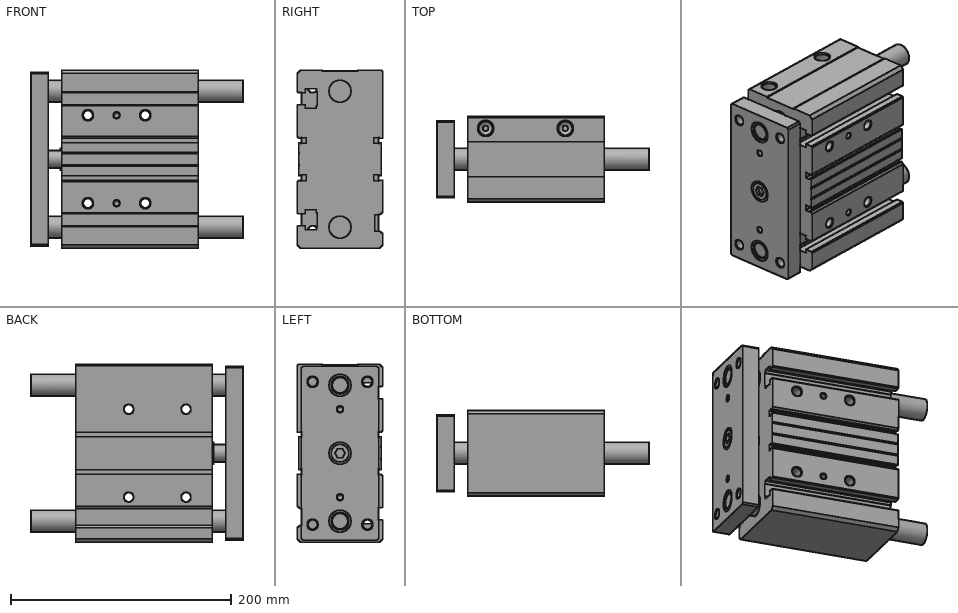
import cadquery as cq

total_length = 193.0
plate_thickness = 16.0
plate_gap = 12.0
body_front = plate_thickness + plate_gap
body_length = 124.3

body_depth = 78.0
body_height = 162.0
front_face = -body_depth / 2
back_face = body_depth / 2
top_face = body_height / 2
corner_chamfer = 3.0
small_corner_chamfer = 1.5
top_recess_width = 32.0
top_recess_depth = 0.8

t_slot_z = 55.0
t_mouth_width = 10.8
t_mouth_chamfer = 1.0
t_head_width = 17.8
t_lip = 7.5
t_head_depth = 10.0
t_relief_width = 12.5
t_relief_depth = 1.0

land_half_height = 15.0
land_recess = 1.4
sensor_slot_width = 3.9
sensor_slot_lip = 3.5
sensor_slot_undercut = 0.8
sensor_slot_depth = 8.1
sensor_slot_chamfer = 1.7
land_groove_z = 5.6
land_groove_width = 1.5
land_groove_floor_width = 0.8
land_groove_depth = 0.4

notch_z = -57.9
notch_mouth_width = 19.7
notch_width = 15.0
notch_flare_depth = 2.7
notch_depth = 7.5

mount_z = 40.0
mount_x = body_front + 24.0
mount_pitch = 52.1
mount_diameter = 8.5
mount_rim_diameter = 10.0
dowel_x = mount_x + mount_pitch / 2
dowel_diameter = 5.0
dowel_rim_diameter = 6.2
dowel_depth = 7.7
dowel_cone_depth = 1.5

port_positions = [body_front + 16.5, body_front + 88.8]
port_y = 28.0
port_diameter = 12.4
port_rim_diameter = 14.7
port_depth = 11.5
port_cone_depth = 3.0
passage_diameter = 5.0
passage_depth = 23.2

plate_depth = 70.3
plate_height = 158.0
plate_chamfer = 1.5
plate_hole_y = 24.9
plate_hole_z = 64.8

guide_z = 61.8
guide_diameter = 20.0
guide_recess_diameter = 16.0
guide_recess_depth = 1.0
guide_core_bevel_width = 1.0
guide_core_bevel_depth = 1.5

piston_diameter = 16.0
piston_end = body_front + 38.6
counterbore_diameter = 20.0
counterbore_depth = 10.0
hex_across_corners = 9.3
hex_depth = 3.0
collar_diameter = 19.7
collar_length = 1.2


def rod_along_x(diameter, start, end, y=0, z=0):
    return cq.Workplane("YZ", origin=(start, y, z)).circle(diameter / 2).extrude(end - start)


def rimmed_hole(mouth, direction, diameter, rim_diameter, depth, cone_depth=0):
    """Hole cutter running from its mouth, with a 45 degree rim and an optional conical bottom."""
    start = cq.Vector(*mouth)
    inward = cq.Vector(*direction)
    radius = diameter / 2
    rim_radius = rim_diameter / 2
    cutter = cq.Solid.makeCylinder(radius, depth, start, inward)
    rim = cq.Solid.makeCone(rim_radius, radius, rim_radius - radius, start, inward)
    cutter = cutter.fuse(rim)
    if cone_depth:
        cutter = cutter.fuse(cq.Solid.makeCone(radius, 0, cone_depth, start + inward * depth, inward))
    return cq.Workplane(cutter)


def along_body(points):
    """Prism with the given (Y, Z) outline over the whole body length."""
    return cq.Workplane("YZ", origin=(body_front, 0, 0)).polyline(points).close().extrude(body_length)


def symmetric_slot(face, inward, z, steps):
    """Slot along the body from (depth, half width) steps, mirrored about height z."""
    lower = [(face + inward * depth, z - half) for depth, half in steps]
    upper = [(face + inward * depth, z + half) for depth, half in reversed(steps)]
    return along_body(lower + upper)


def body_blank():
    return along_body([
        (front_face + corner_chamfer, -top_face),
        (back_face - corner_chamfer, -top_face),
        (back_face, -top_face + corner_chamfer),
        (back_face, top_face - small_corner_chamfer),
        (back_face - small_corner_chamfer, top_face),
        (top_recess_width / 2, top_face),
        (top_recess_width / 2, top_face - top_recess_depth),
        (-top_recess_width / 2, top_face - top_recess_depth),
        (-top_recess_width / 2, top_face),
        (front_face + corner_chamfer, top_face),
        (front_face, top_face - corner_chamfer),
        (front_face, -top_face + corner_chamfer),
    ])


def t_slot(z):
    head_end = t_lip + t_head_depth
    return symmetric_slot(front_face, 1, z, [
        (0, t_mouth_width / 2 + t_mouth_chamfer),
        (t_mouth_chamfer, t_mouth_width / 2),
        (t_lip, t_mouth_width / 2),
        (t_lip, t_head_width / 2),
        (head_end, t_head_width / 2),
        (head_end, t_relief_width / 2),
        (head_end + t_relief_depth, t_relief_width / 2),
    ])


def sensor_recess(face, inward, chamfer):
    """Sunken land with an undercut sensor slot above and below it."""
    slot_edge = land_half_height + sensor_slot_width
    steps = [(0, slot_edge + chamfer)]
    if chamfer:
        steps.append((chamfer, slot_edge))
    steps += [
        (sensor_slot_lip, slot_edge),
        (sensor_slot_lip, slot_edge + sensor_slot_undercut),
        (sensor_slot_depth, slot_edge + sensor_slot_undercut),
        (sensor_slot_depth, land_half_height - sensor_slot_undercut),
        (sensor_slot_lip, land_half_height - sensor_slot_undercut),
        (sensor_slot_lip, land_half_height),
        (land_recess, land_half_height),
    ]
    return symmetric_slot(face, inward, 0, steps)


def land_groove(z):
    """Shallow tapered groove along the front land."""
    return symmetric_slot(front_face + land_recess, 1, z, [
        (0, land_groove_width / 2),
        (land_groove_depth, land_groove_floor_width / 2),
    ])


def back_notch():
    """Slot along the back face with flared lips."""
    return symmetric_slot(back_face, -1, notch_z, [
        (0, notch_mouth_width / 2),
        (notch_flare_depth, notch_width / 2),
        (notch_depth, notch_width / 2),
    ])


def mounting_hole(mouth, direction, depth):
    return rimmed_hole(mouth, direction, mount_diameter, mount_rim_diameter, depth)


def dowel_hole(mouth, direction):
    return rimmed_hole(
        mouth, direction, dowel_diameter, dowel_rim_diameter, dowel_depth, dowel_cone_depth
    )


def cut_front_holes(body):
    for z in (-mount_z, mount_z):
        for x in (mount_x, mount_x + mount_pitch):
            body = body.cut(mounting_hole((x, front_face, z), (0, 1, 0), body_depth))
        body = body.cut(dowel_hole((dowel_x, front_face, z), (0, 1, 0)))
    return body


def cut_ports(body):
    for x in port_positions:
        mouth = (x, port_y, top_face)
        port = rimmed_hole(
            mouth, (0, 0, -1), port_diameter, port_rim_diameter, port_depth, port_cone_depth
        )
        passage = (
            cq.Workplane("XY", origin=mouth).circle(passage_diameter / 2).extrude(-passage_depth)
        )
        body = body.cut(port).cut(passage)
    return body


def make_collar():
    """Ring around the piston rod, open toward the front face by the rod's width."""
    collar = rod_along_x(collar_diameter, body_front - collar_length, body_front)
    opening = (
        cq.Workplane("XY")
        .box(collar_length, collar_diameter / 2, piston_diameter)
        .translate((body_front - collar_length / 2, -collar_diameter / 4, 0))
    )
    return collar.cut(opening)


def make_body():
    body = body_blank()
    for z in (-t_slot_z, t_slot_z):
        body = body.cut(t_slot(z))
    body = body.cut(sensor_recess(front_face, 1, sensor_slot_chamfer))
    body = body.cut(sensor_recess(back_face, -1, 0))
    for z in (-land_groove_z, land_groove_z):
        body = body.cut(land_groove(z))
    body = body.cut(back_notch())
    body = cut_front_holes(body)
    body = cut_ports(body)
    body = body.union(make_collar())
    for z in (-guide_z, guide_z):
        body = body.cut(rod_along_x(guide_diameter, body_front, body_front + body_length, z=z))
    return body.cut(rod_along_x(piston_diameter, body_front - collar_length, piston_end))


def make_plate():
    plate = (
        cq.Workplane("XY")
        .box(plate_thickness, plate_depth, plate_height)
        .translate((plate_thickness / 2, 0, 0))
        .edges("|X")
        .chamfer(plate_chamfer)
    )
    for z in (-plate_hole_z, plate_hole_z):
        for y in (-plate_hole_y, plate_hole_y):
            plate = plate.cut(mounting_hole((0, y, z), (1, 0, 0), plate_thickness))
    for z in (-mount_z, mount_z):
        plate = plate.cut(dowel_hole((0, 0, z), (1, 0, 0)))
    for z in (-guide_z, guide_z):
        plate = plate.cut(rod_along_x(guide_diameter, 0, plate_thickness, z=z))
    plate = plate.cut(rod_along_x(counterbore_diameter, 0, counterbore_depth))
    return plate.cut(rod_along_x(piston_diameter, 0, plate_thickness))


def make_guide_rod(z):
    """Full-length rod with a recessed, bevelled core in its plate end."""
    rod = rod_along_x(guide_diameter, 0, total_length, z=z)
    recess_radius = guide_recess_diameter / 2
    recess_section = [
        (0, 0),
        (0, recess_radius),
        (guide_recess_depth + guide_core_bevel_depth, recess_radius),
        (guide_recess_depth, recess_radius - guide_core_bevel_width),
        (guide_recess_depth, 0),
    ]
    recess = cq.Workplane("XY").polyline(recess_section).close().revolve(360, (0, 0, 0), (1, 0, 0))
    return rod.cut(recess.translate((0, 0, z)))


def make_piston_rod():
    """Rod from the plate face into the body, with a hexagon socket in its outer end."""
    rod = rod_along_x(piston_diameter, 0, piston_end)
    socket = cq.Workplane("YZ").polygon(6, hex_across_corners).extrude(hex_depth)
    return rod.cut(socket)


body = make_body()
plate = make_plate()
guide_rods = [make_guide_rod(z) for z in (-guide_z, guide_z)]
piston_rod = make_piston_rod()
result = cq.Compound.makeCompound(
    [body.val(), plate.val(), *[rod.val() for rod in guide_rods], piston_rod.val()]
)